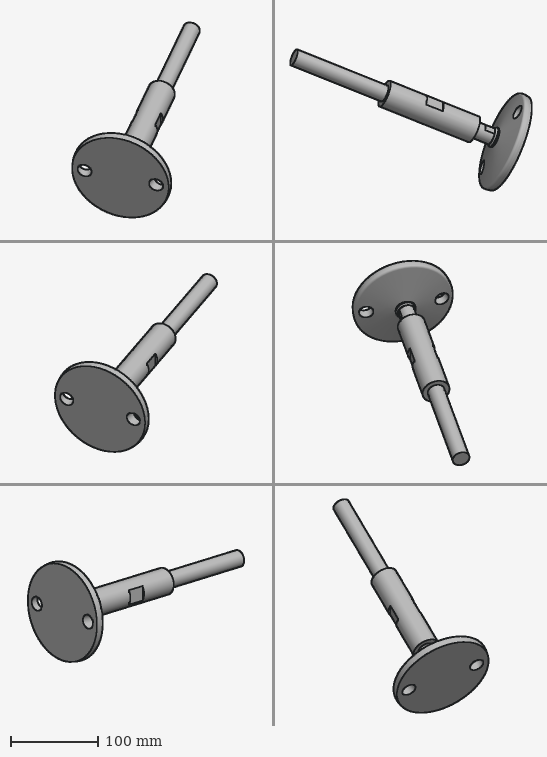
import cadquery as cq
import math

OVERALL_LENGTH = 277.0

FOOT_RADIUS = 118.0 / 2
FOOT_BASE_RADIUS = 58.2
FOOT_TOP_RADIUS = 10.5
RIM_LOWER_EDGE = 4.7
RIM_UPPER_EDGE = 7.2
RIM_ROUNDING = 3.0
CONE_ANGLE = math.radians(9.2)
CONE_EDGE_RADIUS = FOOT_RADIUS - RIM_ROUNDING * (1 - math.sin(CONE_ANGLE))
CONE_EDGE_HEIGHT = RIM_UPPER_EDGE + RIM_ROUNDING * math.cos(CONE_ANGLE)
FOOT_HEIGHT = CONE_EDGE_HEIGHT + (CONE_EDGE_RADIUS - FOOT_TOP_RADIUS) * math.tan(CONE_ANGLE)

HOLE_DIAMETER = 16.5
HOLE_OFFSET = 43.0

ROD_RADIUS = 20.0 / 2
SLEEVE_RADIUS = 32.0 / 2
SLEEVE_START = 45.5
SLEEVE_END = 160.5

COLLAR_RADIUS = 12.0
COLLAR_TOP_RADIUS = 10.5
COLLAR_BAND_START = 18.5
COLLAR_BAND_END = 20.2
COLLAR_END = 23.0

SLEEVE_FLAT_WIDTH = 27.0
SLEEVE_FLAT_LENGTH = 21.5
SLEEVE_FLAT_START = (SLEEVE_START + SLEEVE_END - SLEEVE_FLAT_LENGTH) / 2
ROD_FLAT_WIDTH = 17.0
ROD_FLAT_LENGTH = 12.2


def make_foot():
    """Revolved conical plate with a rounded rim and two tilted fixing holes."""
    foot = (
        cq.Workplane("XY")
        .lineTo(FOOT_BASE_RADIUS, 0)
        .lineTo(FOOT_RADIUS, RIM_LOWER_EDGE)
        .lineTo(FOOT_RADIUS, RIM_UPPER_EDGE)
        .tangentArcPoint((CONE_EDGE_RADIUS, CONE_EDGE_HEIGHT), relative=False)
        .lineTo(FOOT_TOP_RADIUS, FOOT_HEIGHT)
        .lineTo(0, FOOT_HEIGHT)
        .close()
        .revolve(360, (0, 0, 0), (0, 1, 0))
    )
    drill_length = 4 * FOOT_HEIGHT
    for side in (-1, 1):
        direction = cq.Vector(side * math.sin(CONE_ANGLE), math.cos(CONE_ANGLE), 0)
        center = cq.Vector(side * HOLE_OFFSET, 0, 0)
        drill = cq.Solid.makeCylinder(
            HOLE_DIAMETER / 2,
            drill_length,
            center - direction * (drill_length / 2),
            direction,
        )
        foot = foot.cut(cq.Workplane(drill))
    return foot


def cut_flats(body, radius, width, start, length):
    """Cut a pair of opposite wrench flats, facing -X and +X."""
    depth = radius - width / 2
    for side in (-1, 1):
        cutter = (
            cq.Workplane("XY")
            .box(depth, length, 2 * radius)
            .translate((side * (width + depth) / 2, start + length / 2, 0))
        )
        body = body.cut(cutter)
    return body


def make_cylinder(radius, start, end):
    """Cylinder on the Y axis between two heights."""
    return cq.Workplane(
        cq.Solid.makeCylinder(radius, end - start, cq.Vector(0, start, 0), cq.Vector(0, 1, 0))
    )


def make_collar():
    """Double-bevelled collar between the foot and the rod."""
    return (
        cq.Workplane("XY")
        .moveTo(0, FOOT_HEIGHT)
        .lineTo(FOOT_TOP_RADIUS, FOOT_HEIGHT)
        .lineTo(COLLAR_RADIUS, COLLAR_BAND_START)
        .lineTo(COLLAR_RADIUS, COLLAR_BAND_END)
        .lineTo(COLLAR_TOP_RADIUS, COLLAR_END)
        .lineTo(0, COLLAR_END)
        .close()
        .revolve(360, (0, 0, 0), (0, 1, 0))
    )


def make_spindle():
    """Rod with a thicker sleeve section, a collar and two pairs of wrench flats."""
    rod = make_cylinder(ROD_RADIUS, COLLAR_END, OVERALL_LENGTH)
    rod = cut_flats(rod, ROD_RADIUS, ROD_FLAT_WIDTH, COLLAR_END, ROD_FLAT_LENGTH)
    sleeve = make_cylinder(SLEEVE_RADIUS, SLEEVE_START, SLEEVE_END)
    sleeve = cut_flats(
        sleeve, SLEEVE_RADIUS, SLEEVE_FLAT_WIDTH, SLEEVE_FLAT_START, SLEEVE_FLAT_LENGTH
    )
    return rod.union(sleeve).union(make_collar())


foot = make_foot()
spindle = make_spindle()

result = cq.Compound.makeCompound([foot.val(), spindle.val()])